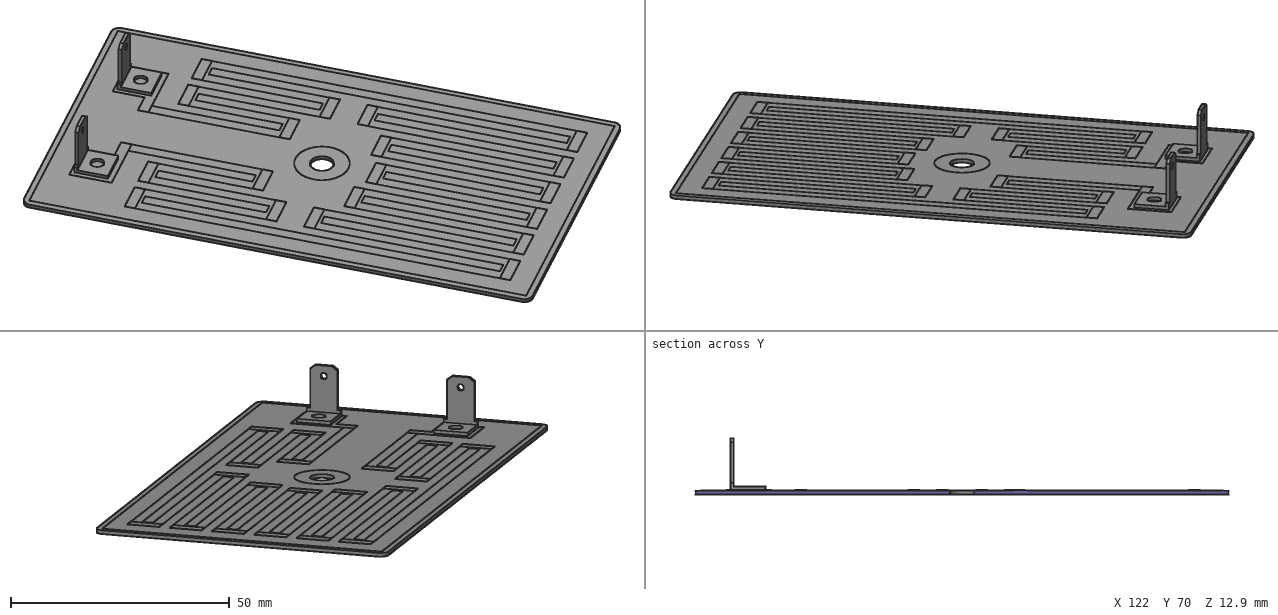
import cadquery as cq

PLATE_LENGTH = 122.0
PLATE_WIDTH = 70.0
PLATE_THICKNESS = 0.9
CORNER_RADIUS = 2.0
TOTAL_HEIGHT = 12.9
MOUNT_HOLE_DIAMETER = 5.5

COAT_MARGIN = 1.4
COAT_THICKNESS = 0.05
COAT_OPENING_DIAMETER = 12.7
COAT_TOP = PLATE_THICKNESS + COAT_THICKNESS

TRACK_THICKNESS = 0.05
TRACK_WIDTH = 2.54
ROW_PITCH = 2 * TRACK_WIDTH
ROW_COUNT = 12
PAD_ROW = 4
TURN_WIDTH = 3.3
BRIDGE_WIDTH = 2.5
BRIDGE_THICKNESS = 0.05
TRACK_TOP = COAT_TOP + TRACK_THICKNESS
BRIDGE_TOP = TRACK_TOP + BRIDGE_THICKNESS

LEFT_TURN_X = -38.1
RIGHT_TURN_X = 54.4
OUTER_GAP_X = 3.3
INNER_GAP_X = 9.75
MIDDLE_TURN_X = 11.75

PAD_SIZE = 4 * TRACK_WIDTH
PAD_LEFT_X = -53.8
PAD_RIGHT_X = PAD_LEFT_X + PAD_SIZE
PAD_CENTER_Y = 6.5 * TRACK_WIDTH

TERMINAL_SHEET = 0.8
TERMINAL_LEFT_X = -53.0
FOOT_LENGTH = 8.1
FOOT_WIDTH = 8.1
FOOT_HOLE_DIAMETER = 3.2
FOOT_HOLE_X = -48.7
TERMINAL_Y = 16.45
BLADE_WIDTH = 6.5
BLADE_CHAMFER_WIDTH = 1.25
BLADE_CHAMFER_HEIGHT = 0.9
BLADE_HOLE_DIAMETER = 1.5
BLADE_HOLE_DROP = 2.5
SHOULDER_HEIGHT = 1.6

UPPER_LEFT_TURNS = [
    (0, LEFT_TURN_X, -1),
    (1, -OUTER_GAP_X, 1),
    (2, LEFT_TURN_X, -1),
    (3, -INNER_GAP_X, 1),
]
UPPER_RIGHT_TURNS = [
    (0, RIGHT_TURN_X, 1),
    (1, OUTER_GAP_X, -1),
    (2, RIGHT_TURN_X, 1),
    (3, INNER_GAP_X, -1),
    (4, RIGHT_TURN_X, 1),
]
MIDDLE_TURN = (5, MIDDLE_TURN_X, -1)

UPPER_ROWS = [
    (0, LEFT_TURN_X, RIGHT_TURN_X),
    (1, LEFT_TURN_X, -OUTER_GAP_X),
    (2, LEFT_TURN_X, -OUTER_GAP_X),
    (3, LEFT_TURN_X, -INNER_GAP_X),
    (PAD_ROW, PAD_RIGHT_X, -INNER_GAP_X),
    (1, OUTER_GAP_X, RIGHT_TURN_X),
    (2, OUTER_GAP_X, RIGHT_TURN_X),
    (3, INNER_GAP_X, RIGHT_TURN_X),
    (4, INNER_GAP_X, RIGHT_TURN_X),
    (5, MIDDLE_TURN_X, RIGHT_TURN_X),
]


def block(x_min, x_max, y_min, y_max, z_min, z_max):
    """Box given by its limits along each axis."""
    size = (x_max - x_min, y_max - y_min, z_max - z_min)
    return cq.Workplane("XY").box(*size, centered=False).translate((x_min, y_min, z_min))


def row_center(row):
    """Y position of a track row, counted from the top."""
    return ((ROW_COUNT - 1) / 2 - row) * ROW_PITCH


def mirrored(body):
    """A body joined with its reflection across the XZ plane."""
    return body.union(body.mirror("XZ"))


def make_plate():
    """Rounded plate with its insulating layer, open around the mounting hole."""
    plate = (
        cq.Workplane("XY")
        .rect(PLATE_LENGTH, PLATE_WIDTH)
        .extrude(PLATE_THICKNESS)
        .edges("|Z")
        .fillet(CORNER_RADIUS)
    )
    coat = (
        cq.Workplane("XY", origin=(0, 0, PLATE_THICKNESS))
        .rect(PLATE_LENGTH - 2 * COAT_MARGIN, PLATE_WIDTH - 2 * COAT_MARGIN)
        .circle(COAT_OPENING_DIAMETER / 2)
        .extrude(COAT_THICKNESS)
    )
    hole = cq.Workplane("XY").circle(MOUNT_HOLE_DIAMETER / 2).extrude(PLATE_THICKNESS)
    return plate.union(coat).cut(hole)


def make_row(row, x_min, x_max):
    """Straight track bar along X."""
    y_min = row_center(row) - TRACK_WIDTH / 2
    return block(x_min, x_max, y_min, y_min + TRACK_WIDTH, COAT_TOP, TRACK_TOP)


def make_turn(row, outer_x, direction):
    """Track link between two rows, with a narrower conducting bridge on top."""
    y_max = row_center(row) + TRACK_WIDTH / 2
    y_min = row_center(row + 1) - TRACK_WIDTH / 2
    link_x = sorted((outer_x, outer_x - direction * TURN_WIDTH))
    bridge_x = sorted((outer_x, outer_x - direction * BRIDGE_WIDTH))
    link = block(*link_x, y_min, y_max, COAT_TOP, TRACK_TOP)
    bridge = block(*bridge_x, y_min, y_max, COAT_TOP, BRIDGE_TOP)
    return link.union(bridge)


def make_upper_pad():
    """Square contact pad with a strip leading down to the last left-hand row."""
    y_max = PAD_CENTER_Y + PAD_SIZE / 2
    strip_y_min = row_center(PAD_ROW) - TRACK_WIDTH / 2
    pad = block(PAD_LEFT_X, PAD_RIGHT_X, y_max - PAD_SIZE, y_max, COAT_TOP, BRIDGE_TOP)
    strip = block(PAD_RIGHT_X - TRACK_WIDTH, PAD_RIGHT_X, strip_y_min, y_max, COAT_TOP, BRIDGE_TOP)
    return pad.union(strip)


def make_upper_track():
    """Pad, rows and turns on the +Y half of the plate."""
    track = make_upper_pad()
    for span in UPPER_ROWS:
        track = track.union(make_row(*span))
    for turn in UPPER_LEFT_TURNS + UPPER_RIGHT_TURNS:
        track = track.union(make_turn(*turn))
    return track


def make_upper_terminal():
    """Bent sheet terminal: a foot on the pad and an upright blade with chamfered corners."""
    foot_bottom = BRIDGE_TOP
    foot_top = foot_bottom + TERMINAL_SHEET
    blade_right_x = TERMINAL_LEFT_X + TERMINAL_SHEET
    y_min = TERMINAL_Y - FOOT_WIDTH / 2
    y_max = TERMINAL_Y + FOOT_WIDTH / 2

    foot = block(TERMINAL_LEFT_X, TERMINAL_LEFT_X + FOOT_LENGTH, y_min, y_max, foot_bottom, foot_top)
    shoulder_top = foot_bottom + SHOULDER_HEIGHT
    shoulder = block(TERMINAL_LEFT_X, blade_right_x, y_min, y_max, foot_bottom, shoulder_top)
    bend = foot.union(shoulder)

    half_width = BLADE_WIDTH / 2
    half_tip = half_width - BLADE_CHAMFER_WIDTH
    chamfer_start = TOTAL_HEIGHT - BLADE_CHAMFER_HEIGHT
    blade_outline = [
        (-half_width, foot_bottom),
        (half_width, foot_bottom),
        (half_width, chamfer_start),
        (half_tip, TOTAL_HEIGHT),
        (-half_tip, TOTAL_HEIGHT),
        (-half_width, chamfer_start),
    ]
    blade = (
        cq.Workplane("YZ", origin=(TERMINAL_LEFT_X, TERMINAL_Y, 0))
        .polyline(blade_outline)
        .close()
        .extrude(TERMINAL_SHEET)
    )

    foot_hole = (
        cq.Workplane("XY", origin=(FOOT_HOLE_X, TERMINAL_Y, foot_bottom))
        .circle(FOOT_HOLE_DIAMETER / 2)
        .extrude(TERMINAL_SHEET)
    )
    blade_hole = (
        cq.Workplane("YZ", origin=(TERMINAL_LEFT_X, TERMINAL_Y, TOTAL_HEIGHT - BLADE_HOLE_DROP))
        .circle(BLADE_HOLE_DIAMETER / 2)
        .extrude(TERMINAL_SHEET)
    )
    return bend.union(blade).cut(foot_hole).cut(blade_hole)


result = (
    make_plate()
    .union(mirrored(make_upper_track()))
    .union(make_turn(*MIDDLE_TURN))
    .union(mirrored(make_upper_terminal()))
)